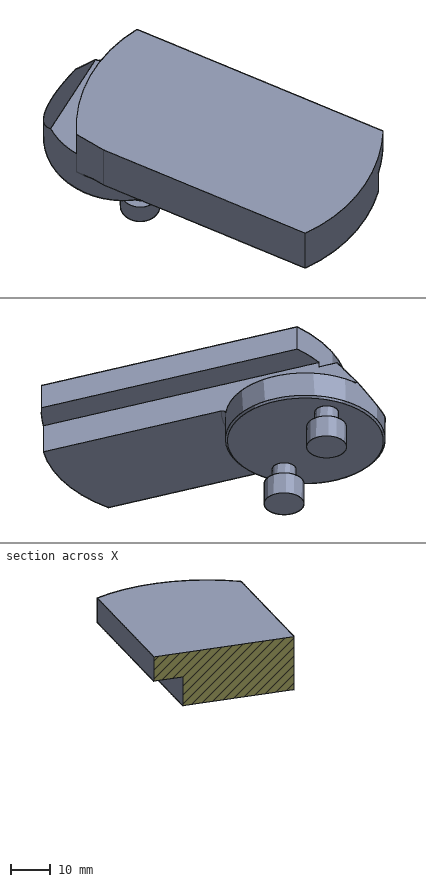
import cadquery as cq
import math

base_radius = 20.0
base_edge_chamfer = 0.5
base_ledge_z = 7.2

plate_top_z = 23.0
plate_bottom_z = 8.5
plate_end_radius = 38.41
plate_centre_x = 30.0
plate_front_y = -21.0
plate_back_y = 16.5

boss_top_z = 15.0
boss_slope_top_x = -12.3
boss_slope_bottom_z = 4.8

fillet_radius = 1.0
fillet_inset = fillet_radius * (1 - math.sqrt(0.5))

slot_wall_y = 8.75
slot_roof_z = 16.3

screw_circle_radius = 14.0
shank_diameter = 6.0
tip_diameter = 5.5
tip_top_z = 7.75
head_diameter = 10.0
head_height = 6.0
head_bottom_z = -10.33

cut_length = 4 * plate_end_radius


def cylinder(radius, bottom_z, top_z, x=0.0, y=0.0):
    """Upright cylinder between two heights, centred on (x, y)."""
    disc = cq.Workplane("XY", origin=(x, y, bottom_z)).circle(radius)
    return disc.extrude(top_z - bottom_z)


def make_base():
    """Round base and boss, with the sloping flat on the -X side."""
    base = cylinder(base_radius, 0, boss_top_z)
    base = base.faces("<Z").edges().chamfer(base_edge_chamfer)
    slope_cut = (
        cq.Workplane("XZ")
        .moveTo(-base_radius, boss_slope_bottom_z)
        .lineTo(boss_slope_top_x, boss_top_z)
        .lineTo(-base_radius, boss_top_z)
        .close()
        .extrude(base_radius, both=True)
    )
    return base.cut(slope_cut)


def make_plate():
    """Plate with arc ends; its front left flank is tangent to the base."""
    corner_x = (base_radius**2 + plate_centre_x**2 - plate_end_radius**2) / (2 * plate_centre_x)
    corner_y = -math.sqrt(base_radius**2 - corner_x**2)
    tangent_end_x = (base_radius**2 - corner_y * plate_front_y) / corner_x

    half_chord_back = math.sqrt(plate_end_radius**2 - plate_back_y**2)
    half_chord_front = math.sqrt(plate_end_radius**2 - plate_front_y**2)
    fillet_bottom_z = plate_bottom_z - fillet_radius

    outline = (
        cq.Workplane("XY", origin=(0, 0, fillet_bottom_z))
        .moveTo(corner_x, corner_y)
        .lineTo(tangent_end_x, plate_front_y)
        .lineTo(plate_centre_x + half_chord_front, plate_front_y)
        .threePointArc(
            (plate_centre_x + plate_end_radius, 0),
            (plate_centre_x + half_chord_back, plate_back_y),
        )
        .lineTo(plate_centre_x - half_chord_back, plate_back_y)
        .threePointArc((plate_centre_x - plate_end_radius, 0), (corner_x, corner_y))
        .close()
    )
    blank = outline.extrude(plate_top_z - fillet_bottom_z)

    fillet_ring = (
        cq.Workplane("XZ")
        .moveTo(0, fillet_bottom_z)
        .lineTo(base_radius, fillet_bottom_z)
        .threePointArc(
            (base_radius + fillet_inset, plate_bottom_z - fillet_inset),
            (base_radius + fillet_radius, plate_bottom_z),
        )
        .lineTo(0, plate_bottom_z)
        .close()
        .revolve(360, (0, 0, 0), (0, 1, 0))
    )
    upper_space = cylinder(cut_length, plate_bottom_z, plate_top_z)
    return blank.intersect(upper_space.union(fillet_ring))


def make_slot():
    """Through slot along X, with a fillet at the foot of its wall."""
    return (
        cq.Workplane("YZ")
        .moveTo(slot_wall_y, slot_roof_z)
        .lineTo(slot_wall_y, base_ledge_z + fillet_radius)
        .threePointArc(
            (slot_wall_y + fillet_inset, base_ledge_z + fillet_inset),
            (slot_wall_y + fillet_radius, base_ledge_z),
        )
        .lineTo(base_radius, base_ledge_z)
        .lineTo(base_radius, slot_roof_z)
        .close()
        .extrude(cut_length, both=True)
    )


def make_screw(x, y):
    """Cap screw standing head down, its slimmer tip running up through the base."""
    shank = cylinder(shank_diameter / 2, head_bottom_z, 0, x, y)
    tip = cylinder(tip_diameter / 2, 0, tip_top_z, x, y)
    head = cylinder(head_diameter / 2, head_bottom_z, head_bottom_z + head_height, x, y)
    return shank.union(head).union(tip)


result = make_base().union(make_plate()).cut(make_slot())

screw_offset = screw_circle_radius / math.sqrt(2)
for side in (-1, 1):
    result = result.union(make_screw(side * screw_offset, -side * screw_offset))